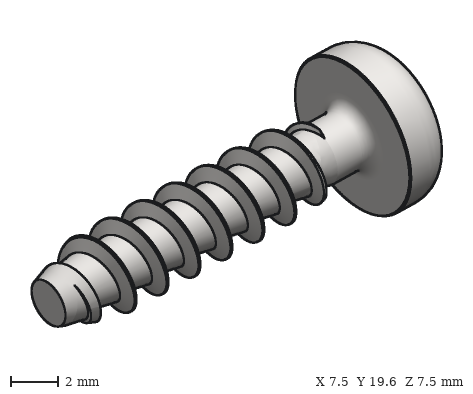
import cadquery as cq

length = 19.59

head_diameter = 7.5
head_radius = head_diameter / 2
head_height = 2.59
crown_radius = 1.49
seat_chamfer = 0.05

shank_radius = 1.4
neck_fillet = 0.63
shank_end = 4.58

crest_span = 10.74
full_turns = 6
pitch = crest_span / full_turns
crest_diameter = 3.98
crest_radius = crest_diameter / 2
mouth_ridge_width = 0.05
root_radius_behind = 1.35
root_radius_ahead = 1.15
flank_behind = 0.33
flank_ahead = 0.3
first_crest = 5.72
groove_clearance = 0.08

start_radius = 1.57
full_crest_start = 6.17
full_crest_end = 16.96
tip_radius = 1.1
core_runout = 0.86


def head_and_shank():
    crown_flat = head_radius - crown_radius
    crown_mid = crown_radius / 2**0.5
    neck_mid = neck_fillet * (1 - 1 / 2**0.5)
    return (
        cq.Workplane("XZ")
        .lineTo(crown_flat, 0)
        .threePointArc(
            (crown_flat + crown_mid, crown_radius - crown_mid),
            (head_radius, crown_radius),
        )
        .lineTo(head_radius, head_height - seat_chamfer)
        .lineTo(head_radius - seat_chamfer, head_height)
        .lineTo(shank_radius + neck_fillet, head_height)
        .threePointArc(
            (shank_radius + neck_mid, head_height + neck_mid),
            (shank_radius, head_height + neck_fillet),
        )
        .lineTo(shank_radius, shank_end)
        .lineTo(0, shank_end)
        .close()
        .revolve(360, (0, 0, 0), (0, 1, 0))
    )


def thread_stock():
    """Cylinder at the crest diameter, before the groove is cut."""
    thread_length = length - shank_end
    return cq.Workplane(cq.Solid.makeCylinder(crest_radius, thread_length, cq.Vector(0, 0, shank_end)))


def crest_envelope():
    """Two opposed cones that limit the ridge height near the shank and near the tip."""
    outer_radius = crest_radius + groove_clearance
    rise_length = full_crest_start - shank_end
    fall_length = length - full_crest_end
    rise_extension = groove_clearance * rise_length / (crest_radius - start_radius)
    fall_extension = groove_clearance * fall_length / (crest_radius - tip_radius)
    return (
        cq.Workplane("XZ")
        .moveTo(0, shank_end)
        .lineTo(start_radius, shank_end)
        .lineTo(outer_radius, full_crest_start + rise_extension)
        .lineTo(outer_radius, full_crest_end - fall_extension)
        .lineTo(tip_radius, length)
        .lineTo(0, length)
        .close()
        .revolve(360, (0, 0, 0), (0, 1, 0))
    )


def thread_groove():
    """Space between neighbouring ridges, bounded by ruled faces between right-hand helices."""
    lead_turns = 2
    groove_start = first_crest - lead_turns * pitch
    groove_height = length - groove_start + pitch
    outer_radius = crest_radius + groove_clearance
    profile = [
        (outer_radius, groove_start + mouth_ridge_width / 2),
        (root_radius_behind, groove_start + flank_behind),
        (root_radius_ahead, groove_start + pitch - flank_ahead),
        (outer_radius, groove_start + pitch - mouth_ridge_width / 2),
    ]
    helices = [
        cq.Wire.makeHelix(pitch, groove_height, radius, center=cq.Vector(0, 0, place))
        for radius, place in profile
    ]
    next_helices = helices[1:] + helices[:1]
    sides = [cq.Face.makeRuledSurface(one, other) for one, other in zip(helices, next_helices)]

    corners = [cq.Vector(radius, 0, place) for radius, place in profile]
    start_cap = cq.Face.makeFromWires(cq.Wire.makePolygon(corners, close=True))
    turn = 360 * groove_height / pitch
    turned_cap = start_cap.rotate(cq.Vector(), cq.Vector(0, 0, 1), turn)
    end_cap = turned_cap.translate(cq.Vector(0, 0, groove_height))

    shell = cq.Shell.makeShell(sides + [start_cap, end_cap])
    return cq.Workplane(cq.Solid.makeSolid(shell))


def core_transition():
    """Cone that blends the shank into the first turn of the core."""
    cone = cq.Solid.makeCone(shank_radius, root_radius_ahead, core_runout, cq.Vector(0, 0, shank_end))
    return cq.Workplane(cone)


thread = thread_stock().cut(thread_groove()).intersect(crest_envelope())
screw = head_and_shank().union(thread).union(core_transition())
result = screw.rotate((0, 0, 0), (1, 0, 0), 90)